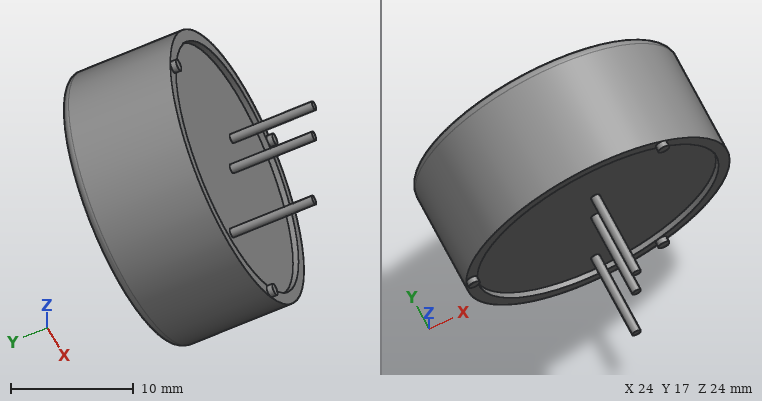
import cadquery as cq
import math

can_diameter = 24.0
can_depth = 10.0
back_fillet = 0.7
rim_width = 1.0
recess_depth = 0.5

foot_diameter = rim_width
foot_height = 0.5
foot_angles = (60, 180, 300)

pin_diameter = 0.8
pin_reach = 7.0
pin_heights = (4.0, 0, -8.5)

can_radius = can_diameter / 2
foot_circle_radius = can_radius - rim_width / 2


def rod(x, z, diameter, y_start, y_end):
    """Cylinder parallel to Y, running from y_start to y_end."""
    length = y_end - y_start
    base = cq.Workplane("XZ", origin=(x, y_end, z))
    return base.circle(diameter / 2).extrude(length)


def make_can():
    """Can with its rim at Y = 0, a rounded back edge and a shallow front recess."""
    can = rod(0, 0, can_diameter, 0, can_depth).faces(">Y").edges().fillet(back_fillet)
    recess_diameter = can_diameter - 2 * rim_width
    return can.cut(rod(0, 0, recess_diameter, 0, recess_depth))


result = make_can()

for angle in foot_angles:
    foot_x = foot_circle_radius * math.cos(math.radians(angle))
    foot_z = foot_circle_radius * math.sin(math.radians(angle))
    result = result.union(rod(foot_x, foot_z, foot_diameter, -foot_height, 0))

for height in pin_heights:
    result = result.union(rod(0, height, pin_diameter, -pin_reach, recess_depth))